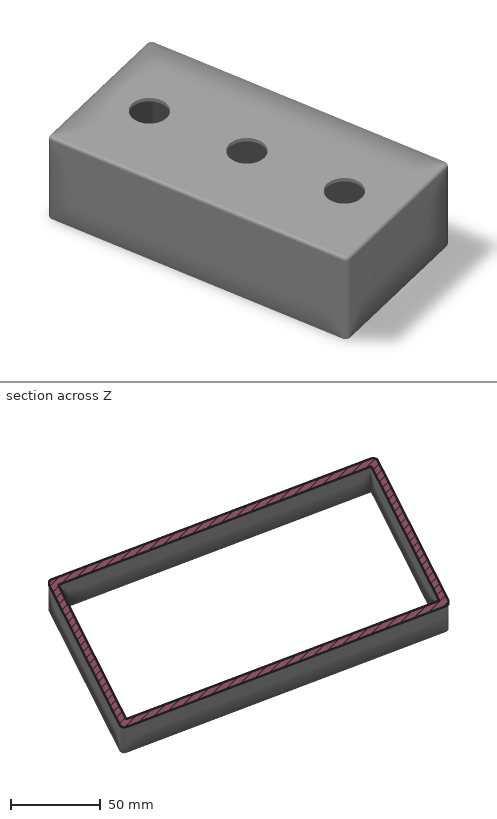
import cadquery as cq

length = 200.0
width = 104.0
height = 57.5
wall = 5.0
top_thickness = 2.5

corner_radius = 3.0
top_edge_radius = 2.0

hole_diameter = 23.0
hole_pitch = 65.0
hole_row_y = -1.5
hole_count = 3


def make_shell():
    """Rounded box with a plain cavity that opens downwards."""
    body = cq.Workplane("XY").box(length, width, height, centered=(True, True, False))
    body = body.edges("|Z").fillet(corner_radius)
    body = body.faces(">Z").edges().fillet(top_edge_radius)
    cavity = cq.Workplane("XY").box(
        length - 2 * wall,
        width - 2 * wall,
        height - top_thickness,
        centered=(True, True, False),
    )
    return body.cut(cavity)


def make_hole_cutters():
    """Cylinders for the evenly spaced row of holes along X."""
    return (
        cq.Workplane("XY")
        .center(0, hole_row_y)
        .rarray(hole_pitch, 2, hole_count, 1)
        .circle(hole_diameter / 2)
        .extrude(height)
    )


result = make_shell().cut(make_hole_cutters())